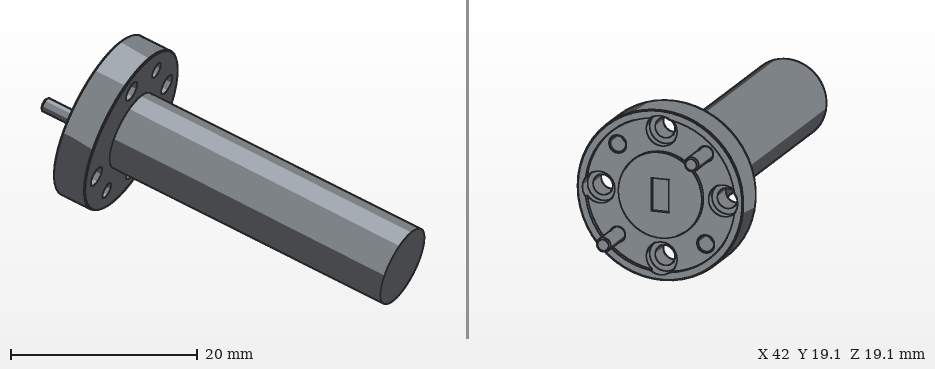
import cadquery as cq
import math

total_length = 41.95
pin_projection = 3.85
flange_thickness = 4.0
flange_radius = 9.53
flange_chamfer = 0.13
barrel_radius = 4.5

boss_radius = 4.8
rim_inner_radius = 8.6
ring_depth = 0.5

window_width = 1.97
window_height = 3.7
window_depth = 0.35

screw_circle_radius = 7.15
screw_hole_radius = 1.15
counterbore_radius = 1.75
counterbore_depth = 1.5

alignment_circle_radius = 7.15
alignment_hole_radius = 0.9
alignment_hole_chamfer = 0.13
pin_radius = 0.8
pin_chamfer = 0.15
pin_seat_chamfer = 0.1
pin_seat_depth = flange_thickness / 2

flange_front = pin_projection
flange_back = flange_front + flange_thickness
ring_floor = flange_front + ring_depth


def rod(radius, start, end, y=0, z=0):
    """Cylinder along X, from start to end, centred on (y, z)."""
    return cq.Workplane("YZ", origin=(start, y, z)).circle(radius).extrude(end - start)


def mouth_cone(hole_radius, chamfer, y, z):
    """45 degree cone that chamfers the mouth of a hole in the ring floor."""
    mouth = cq.Workplane("YZ", origin=(ring_floor, y, z)).circle(hole_radius + chamfer)
    return mouth.extrude(chamfer, taper=45)


def on_circle(radius, angle_degrees):
    """Y and Z of a point on a circle around the X axis."""
    angle = math.radians(angle_degrees)
    return radius * math.cos(angle), radius * math.sin(angle)


screw_places = [on_circle(screw_circle_radius, angle) for angle in (0, 90, 180, 270)]
hole_places = [on_circle(alignment_circle_radius, angle) for angle in (45, 225)]
pin_places = [on_circle(alignment_circle_radius, angle) for angle in (135, 315)]


def make_housing():
    """Flange and barrel in one piece."""
    housing = rod(flange_radius, flange_front, flange_back).edges().chamfer(flange_chamfer)
    housing = housing.union(rod(barrel_radius, flange_back, total_length))

    ring = rod(rim_inner_radius, flange_front, ring_floor)
    housing = housing.cut(ring.cut(rod(boss_radius, flange_front, ring_floor)))

    window = cq.Workplane("YZ", origin=(flange_front, 0, 0)).rect(window_width, window_height)
    housing = housing.cut(window.extrude(window_depth))

    for y, z in screw_places:
        housing = housing.cut(rod(screw_hole_radius, flange_front, flange_back, y, z))
        counterbore_floor = flange_front + counterbore_depth
        housing = housing.cut(rod(counterbore_radius, flange_front, counterbore_floor, y, z))

    for y, z in hole_places:
        housing = housing.cut(rod(alignment_hole_radius, ring_floor, flange_back, y, z))
        housing = housing.cut(mouth_cone(alignment_hole_radius, alignment_hole_chamfer, y, z))

    for y, z in pin_places:
        housing = housing.cut(rod(pin_radius, ring_floor, flange_front + pin_seat_depth, y, z))
        housing = housing.cut(mouth_cone(pin_radius, pin_seat_chamfer, y, z))
    return housing


def make_pin(y, z):
    """Alignment pin with a chamfered tip."""
    pin = rod(pin_radius, 0, flange_front + pin_seat_depth, y, z)
    return pin.faces("<X").edges().chamfer(pin_chamfer)


housing = make_housing()
pins = [make_pin(y, z) for y, z in pin_places]

result = cq.Compound.makeCompound([housing.val(), *[pin.val() for pin in pins]])